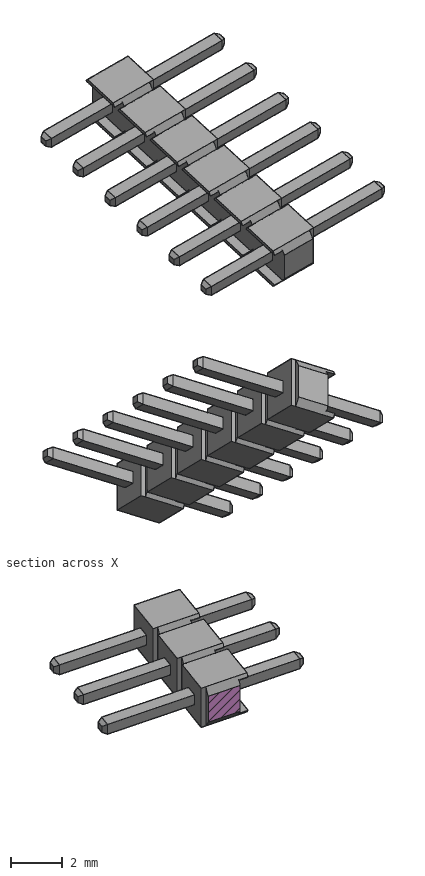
import cadquery as cq

pin_count = 6
pitch = 2.0

strip_height = 2.0
strip_depth = 2.0
corner_width = 0.2
corner_height = 0.33
foot_depth = 0.2
recess_depth = 0.4
lip_thickness = 0.16

pin_width = 0.5
front_reach = 2.8
rear_reach = 4.0
tip_length = 0.2
tip_inset = 0.1

row_length = pin_count * pitch
half_height = strip_height / 2
front_y = -strip_depth / 2
rear_y = strip_depth / 2
cell_rear_y = rear_y - foot_depth
cell_centres = [(i - (pin_count - 1) / 2) * pitch for i in range(pin_count)]


def box_between(width, y_start, y_end, height, x):
    """Box centred at x and on the pin axis in Z, from y_start to y_end."""
    length = y_end - y_start
    return cq.Workplane("XY").box(width, length, height).translate((x, (y_start + y_end) / 2, 0))


def make_cell(x):
    """Octagonal block around one pin, with its narrow pad behind it."""
    side = pitch / 2
    flat = side - corner_width
    shoulder = half_height - corner_height
    block = (
        cq.Workplane("XZ", origin=(x, cell_rear_y, 0))
        .polyline([
            (-side, -shoulder), (-flat, -half_height), (flat, -half_height), (side, -shoulder),
            (side, shoulder), (flat, half_height), (-flat, half_height), (-side, shoulder),
        ])
        .close()
        .extrude(cell_rear_y - front_y)
    )
    foot = box_between(2 * flat, cell_rear_y, rear_y, strip_height, x)
    return block.union(foot)


def make_tip(x, y_base, direction):
    """Tapered end of a pin, growing from y_base along Y in the given direction."""
    end_width = pin_width - 2 * tip_inset
    plane = cq.Plane(origin=(x, y_base, 0), xDir=(1, 0, 0), normal=(0, direction, 0))
    return (
        cq.Workplane(plane)
        .rect(pin_width, pin_width)
        .workplane(offset=tip_length)
        .rect(end_width, end_width)
        .loft(ruled=True)
    )


def make_pin(x):
    """Square pin through the strip, tapered at both ends."""
    shank_front_y = front_y - front_reach + tip_length
    shank_rear_y = rear_y + rear_reach - tip_length
    shank = box_between(pin_width, shank_front_y, shank_rear_y, pin_width, x)
    return shank.union(make_tip(x, shank_front_y, -1)).union(make_tip(x, shank_rear_y, 1))


strip = make_cell(cell_centres[0])
for centre in cell_centres[1:]:
    strip = strip.union(make_cell(centre))

pocket_height = strip_height - 2 * lip_thickness
strip = strip.cut(box_between(row_length, front_y, front_y + recess_depth, pocket_height, 0))

result = strip
for centre in cell_centres:
    result = result.union(make_pin(centre))